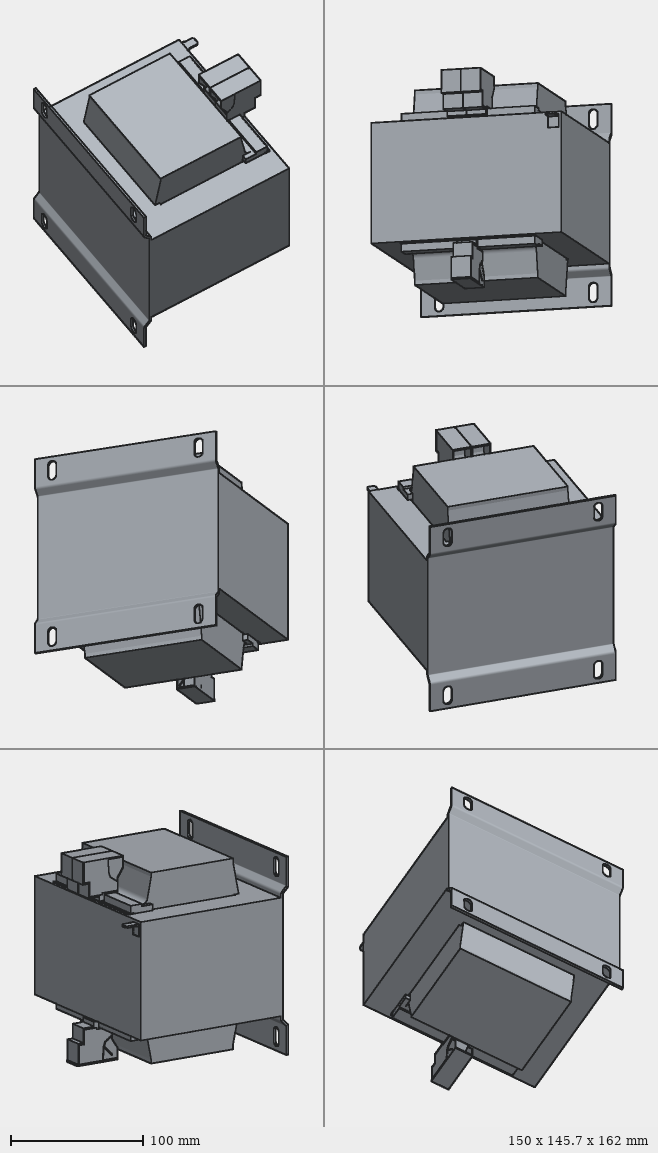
import cadquery as cq
import math


core_width = 150.0
core_depth = 125.0
core_height = 93.0
leg = 25.0
bracket_sheet = 2.0
foot_offset = 4.9
core_front = foot_offset + bracket_sheet
core_back = core_front + core_depth
core_top = core_height / 2
window_width = core_width - 2 * leg
window_front = core_front + leg
window_back = core_back - leg

coil_width = 97.0
coil_top = 75.0
coil_rim_height = 3.2
coil_top_depth = 73.2
coil_base_depth = 83.2
flare_radius = 4.9

flange_width = 105.2
flange_front = 107.2
flange_top = 51.2
rail_front = 116.7
rail_back = 126.8
rail_top = 53.1
ledge_width = 105.9
ledge_back = 128.9
ledge_depth = 4.5
ledge_height = 0.6

bracket_height = 155.5
bend_angle = 45
bend_inner_radius = 0.8
foot_bend_z = 55.4
slot_width = 7.0
slot_length = 15.0
slot_x = 60.7
slot_z = 66.7

block_pitch = 15.4
block_gap = 0.08
block_width = block_pitch - block_gap
block_back = 145.7
block_front = 110.0
block_top = 81.0
block_roof = 1.3
lip_bottom = 71.4
throat_front = 114.6
throat_top = 64.3
shoulder_z = 63.3
shank_back = 140.5
shank_bottom = 51.8
hook_front = 126.6
hook_back = 131.0
hook_bottom = 48.2
side_wall = 0.8
panel_height = 0.2
panel_margin = 1.3
shank_margin = 0.8
panel_step_y = 128.4
lower_block_step = 0.6
entry_floor = [(throat_front, 61.2), (120.8, 65.5), (122.0, 69.0)]
entry_end_y = 122.9
groove_center = (118.3, 72.9)
groove_tilt = -45
groove_length = 10.0
groove_width = 0.8

tab_x = -68.8
tab_base_width = 8.4
tab_width = 7.0
tab_tip_width = 4.7
tab_shoulder_y = 134.7
tab_chamfer = 1.3
tab_tip_y = 143.1
tab_top = 44.2
tab_sheet = 1.5
tab_plate_bottom = 34.5
tab_plate_sheet = 0.6


def box(x_min, x_max, y_min, y_max, z_min, z_max):
    size = (x_max - x_min, y_max - y_min, z_max - z_min)
    return cq.Workplane("XY").box(*size, centered=False).translate((x_min, y_min, z_min))


def centered_box(width, y_min, y_max, z_min, z_max):
    return box(-width / 2, width / 2, y_min, y_max, z_min, z_max)


def side_prism(points, x_min, x_max):
    """Extrude a closed (y, z) outline from x_min to x_max."""
    return cq.Workplane("YZ", origin=(x_min, 0, 0)).polyline(points).close().extrude(x_max - x_min)


def both_ends(upper):
    """Join a shape above the middle plane with its mirror image below it."""
    return upper.union(upper.mirror("XY"))


def make_core():
    core = centered_box(core_width, core_front, core_back, -core_top, core_top)
    window = centered_box(window_width, window_front, window_back, -core_top, core_top)
    return core.cut(window)


def make_coil():
    center_y = (window_front + window_back) / 2
    rim_bottom = coil_top - coil_rim_height
    front_top = center_y - coil_top_depth / 2
    front_base = center_y - coil_base_depth / 2
    back_top = center_y + coil_top_depth / 2
    taper = math.atan2((coil_base_depth - coil_top_depth) / 2, rim_bottom - core_top)

    flare_center_z = flange_top + flare_radius
    taper_y = back_top + (rim_bottom - flare_center_z) * math.tan(taper)
    flare_center_y = taper_y + flare_radius / math.cos(taper)
    flare_start = (
        flare_center_y - flare_radius * math.cos(taper),
        flare_center_z - flare_radius * math.sin(taper),
    )

    upper = (
        cq.Workplane("YZ", origin=(-coil_width / 2, 0, 0))
        .moveTo(front_base, 0)
        .lineTo(front_base, core_top)
        .lineTo(front_top, rim_bottom)
        .lineTo(front_top, coil_top)
        .lineTo(back_top, coil_top)
        .lineTo(back_top, rim_bottom)
        .lineTo(*flare_start)
        .radiusArc((flare_center_y, flange_top), -flare_radius)
        .lineTo(flare_center_y, 0)
        .close()
        .extrude(coil_width)
    )
    return both_ends(upper)


def make_bobbin_ends():
    flange = centered_box(flange_width, flange_front, rail_back, core_top, flange_top)
    rail = centered_box(flange_width, rail_front, rail_back, core_top, rail_top)
    ledge = centered_box(
        ledge_width, ledge_back - ledge_depth, ledge_back, core_top, core_top + ledge_height
    )
    return both_ends(flange.union(rail).union(ledge))


def make_bracket():
    outer_radius = bend_inner_radius + bracket_sheet
    angle = math.radians(bend_angle)
    mid_radius = bend_inner_radius + bracket_sheet / 2
    bend_rise = mid_radius * (1 - math.cos(angle))
    bend_run = mid_radius * math.sin(angle)
    ramp_run = (foot_offset - 2 * bend_rise) / math.tan(angle)
    plate_bend_z = foot_bend_z - 2 * bend_run - ramp_run

    def on_arc(center, radius, turn, direction):
        y = center[0] + direction * radius * math.cos(turn)
        z = center[1] + direction * radius * math.sin(turn)
        return (y, z)

    foot_center = (outer_radius, foot_bend_z)
    plate_center = (foot_offset - bend_inner_radius, plate_bend_z)
    half = angle / 2
    upper = (
        cq.Workplane("YZ", origin=(-core_width / 2, 0, 0))
        .moveTo(0, bracket_height / 2)
        .lineTo(0, foot_bend_z)
        .threePointArc(
            on_arc(foot_center, outer_radius, half, -1),
            on_arc(foot_center, outer_radius, angle, -1),
        )
        .lineTo(*on_arc(plate_center, bend_inner_radius, angle, 1))
        .threePointArc(
            on_arc(plate_center, bend_inner_radius, half, 1),
            on_arc(plate_center, bend_inner_radius, 0, 1),
        )
        .lineTo(foot_offset, 0)
        .lineTo(core_front, 0)
        .lineTo(core_front, plate_bend_z)
        .threePointArc(
            on_arc(plate_center, outer_radius, half, 1),
            on_arc(plate_center, outer_radius, angle, 1),
        )
        .lineTo(*on_arc(foot_center, bend_inner_radius, angle, -1))
        .threePointArc(
            on_arc(foot_center, bend_inner_radius, half, -1),
            on_arc(foot_center, bend_inner_radius, 0, -1),
        )
        .lineTo(bracket_sheet, bracket_height / 2)
        .close()
        .extrude(core_width)
    )
    slots = (
        cq.Workplane("XZ")
        .pushPoints([(-slot_x, slot_z), (slot_x, slot_z)])
        .slot2D(slot_length, slot_width, 90)
        .extrude(-bracket_sheet)
    )
    return both_ends(upper.cut(slots))


def front_outline():
    """Block edge on the wire-entry side, from the roof down to the throat."""
    return [(block_front, block_top), (block_front, lip_bottom), (throat_front, throat_top)]


def panel_underside():
    """Raised panel edge from the throat round the shank to the back of the head."""
    return [
        (throat_front, rail_top + panel_margin),
        (panel_step_y, rail_top + panel_margin),
        (panel_step_y, shank_bottom + panel_margin),
        (shank_back - shank_margin, shank_bottom + panel_margin),
        (shank_back - shank_margin, shoulder_z + panel_margin),
        (block_back - panel_margin, shoulder_z + panel_margin),
    ]


def make_block(x_center, panel_outline):
    """Upright terminal block with a wire entry open towards -Y."""
    x_panel = x_center - block_width / 2
    x_min = x_panel + panel_height
    x_max = x_center + block_width / 2
    roof_bottom = block_top - block_roof
    outline = front_outline() + [
        (throat_front, rail_top),
        (hook_front, rail_top),
        (hook_front, hook_bottom),
        (hook_back, hook_bottom),
        (hook_back, shank_bottom),
        (shank_back, shank_bottom),
        (shank_back, shoulder_z),
        (block_back, shoulder_z),
        (block_back, block_top),
    ]
    entry = entry_floor + [
        (entry_end_y, roof_bottom),
        (block_front, roof_bottom),
        (block_front, entry_floor[0][1]),
    ]
    body = side_prism(outline, x_min, x_max)
    panel = side_prism(panel_outline, x_panel, x_min)
    return body.union(panel).cut(side_prism(entry, x_panel + side_wall, x_max - side_wall))


def make_upper_blocks():
    panel = front_outline() + panel_underside() + [(block_back - panel_margin, block_top)]
    left = make_block(-block_pitch / 2, panel)
    right = make_block(block_pitch / 2, panel)
    return left.union(right)


def make_lower_block():
    roof_bottom = block_top - block_roof
    panel = entry_floor[::-1] + panel_underside()
    panel += [(block_back - panel_margin, roof_bottom), (entry_end_y, roof_bottom)]
    x_wall = -block_width / 2 + panel_height
    groove_depth = panel_height / 2
    groove = (
        cq.Workplane("YZ")
        .rect(groove_length, groove_width)
        .extrude(groove_depth)
        .rotate((0, 0, 0), (1, 0, 0), groove_tilt)
        .translate((x_wall, *groove_center))
    )
    back_step = centered_box(
        block_width, block_back - lower_block_step, block_back, shoulder_z, roof_bottom
    )
    return make_block(0, panel).cut(groove).cut(back_step).mirror("XY")


def make_earth_tab():
    chamfer_y = tab_tip_y - tab_chamfer
    right_side = [
        (tab_base_width / 2, core_back),
        (tab_base_width / 2, tab_shoulder_y),
        (tab_width / 2, tab_shoulder_y),
        (tab_width / 2, chamfer_y),
        (tab_tip_width / 2, tab_tip_y),
    ]
    left_side = [(-x, y) for x, y in reversed(right_side)]
    blade = (
        cq.Workplane("XY", origin=(tab_x, 0, tab_top - tab_sheet))
        .polyline(right_side + left_side)
        .close()
        .extrude(tab_sheet)
    )
    plate = centered_box(
        tab_base_width, core_back, core_back + tab_plate_sheet, tab_plate_bottom, tab_top
    )
    return blade.union(plate.translate((tab_x, 0, 0)))


result = (
    make_core()
    .union(make_coil())
    .union(make_bobbin_ends())
    .union(make_bracket())
    .union(make_upper_blocks())
    .union(make_lower_block())
    .union(make_earth_tab())
)